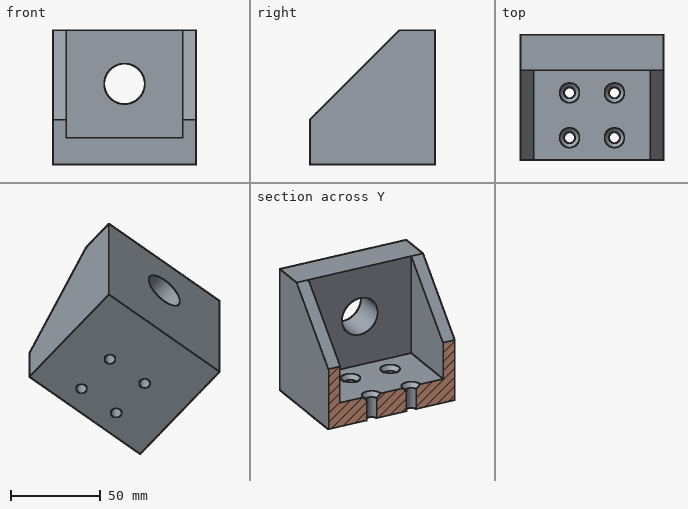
import cadquery as cq

width = 80.0
depth = 70.0
height = 75.0

side_wall = 7.5
floor_thickness = 15.0
back_wall = 20.0

slope_run = depth - back_wall
front_height = height - slope_run

bore_diameter = 22.5
bore_height = 45.0

screw_diameter = 6.0
countersink_diameter = 11.0
countersink_angle = 90.0
screw_pitch = 25.0
screw_front_offset = 12.5
screw_pattern_y = screw_front_offset + screw_pitch / 2


def make_body():
    """Side profile extruded across the width, centred on X = 0, front at Y = 0."""
    profile = [
        (0, 0),
        (depth, 0),
        (depth, height),
        (slope_run, height),
        (0, front_height),
    ]
    return cq.Workplane("YZ").polyline(profile).close().extrude(width / 2, both=True)


def make_cavity():
    """Space between the side walls, open at the front and top."""
    return cq.Workplane("XY").box(
        width - 2 * side_wall,
        slope_run,
        height - floor_thickness,
        centered=(True, False, False),
    ).translate((0, 0, floor_thickness))


def make_bore():
    """Horizontal cylinder through the back wall."""
    return (
        cq.Workplane("XZ", origin=(0, depth, bore_height))
        .circle(bore_diameter / 2)
        .extrude(back_wall)
    )


def cut_screw_holes(body):
    """Drill the countersunk holes from the floor down through the base."""
    return (
        body.copyWorkplane(cq.Workplane("XY", origin=(0, screw_pattern_y, floor_thickness)))
        .rarray(screw_pitch, screw_pitch, 2, 2)
        .cskHole(screw_diameter, countersink_diameter, countersink_angle, floor_thickness)
    )


bracket = make_body().cut(make_cavity()).cut(make_bore())
result = cut_screw_holes(bracket)